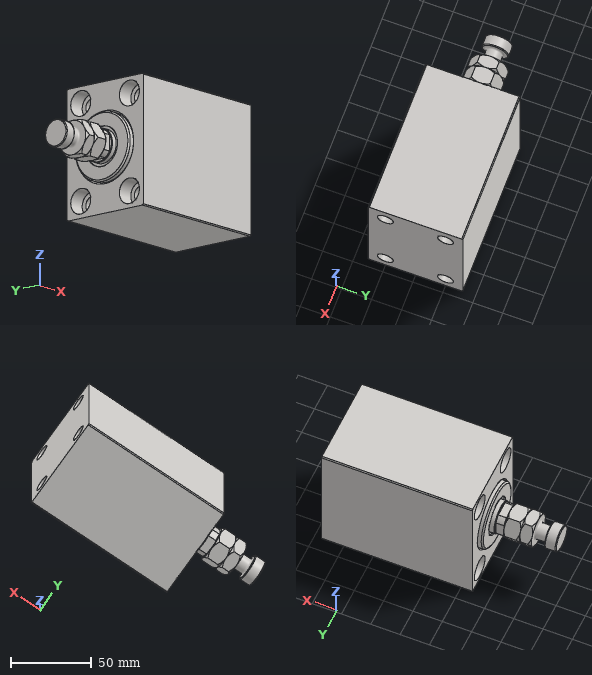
import cadquery as cq
import math


HOUSING_LENGTH = 102.9
HOUSING_WIDTH = 63.0
HOUSING_HEIGHT = 85.0
HOUSING_EDGE_CHAMFER = 0.8
BOLT_SPACING_Y = 40.0
BOLT_SPACING_Z = 63.0
BOLT_HOLE_DIAMETER = 10.5
COUNTERBORE_DIAMETER = 16.5
COUNTERBORE_DEPTH = 11.0

GLAND_DIAMETER = 45.0
GLAND_PROJECTION = 3.2
GLAND_DEPTH = 18.0
GLAND_CHAMFER = 1.0
WIPER_RECESS_DIAMETER = 26.0
WIPER_RECESS_DEPTH = 1.0

ROD_DIAMETER = 22.0
ROD_CHAMFER = 0.5
FLATS_WIDTH = 18.0
FLATS_CORNER_DIAMETER = 20.8
FLATS_LENGTH = 6.0
ROD_PROJECTION = 12.2

HEAD_DIAMETER = 18.0
HEAD_LENGTH = 8.0
HEAD_CHAMFER = 0.6
NECK_DIAMETER = 11.1
NECK_LENGTH = 8.0
NECK_FILLET = 1.2
HEX_ACROSS_FLATS = 22.0
FRONT_HEX_LENGTH = 8.1
REAR_HEX_LENGTH = 11.0

GLAND_FACE_X = -GLAND_PROJECTION
ROD_TIP_X = -ROD_PROJECTION
REAR_HEX_X = ROD_TIP_X - REAR_HEX_LENGTH
FRONT_HEX_X = REAR_HEX_X - FRONT_HEX_LENGTH
HEAD_BACK_X = FRONT_HEX_X - NECK_LENGTH
HEAD_FRONT_X = HEAD_BACK_X - HEAD_LENGTH


def section_plane(x):
    """Plane across the rod axis at x: local x is +Y, local y is +Z, extrusion goes toward +X."""
    return cq.Workplane("YZ", origin=(x, 0, 0))


def cylinder(x, diameter, length):
    return section_plane(x).circle(diameter / 2).extrude(length)


def bolt_pattern(diameter, depth):
    """Four cylinders at the bolt positions, from the front face of the housing to the given depth."""
    return (
        section_plane(0)
        .rect(BOLT_SPACING_Y, BOLT_SPACING_Z, forConstruction=True)
        .vertices()
        .circle(diameter / 2)
        .extrude(depth)
    )


def make_housing():
    block = (
        section_plane(0)
        .rect(HOUSING_WIDTH, HOUSING_HEIGHT)
        .extrude(HOUSING_LENGTH)
        .edges("|X")
        .chamfer(HOUSING_EDGE_CHAMFER)
    )
    bolt_holes = bolt_pattern(BOLT_HOLE_DIAMETER, HOUSING_LENGTH)
    counterbores = bolt_pattern(COUNTERBORE_DIAMETER, COUNTERBORE_DEPTH)
    gland_bore = cylinder(0, GLAND_DIAMETER, GLAND_DEPTH)
    bored = block.cut(bolt_holes).cut(counterbores).cut(gland_bore)
    bore_rim = cq.selectors.RadiusNthSelector(-1)
    return bored.faces("<X").edges(bore_rim).chamfer(GLAND_CHAMFER)


def make_gland():
    disc = cylinder(GLAND_FACE_X, GLAND_DIAMETER, GLAND_PROJECTION + GLAND_DEPTH)
    disc = disc.faces("<X").chamfer(GLAND_CHAMFER)
    wiper_recess = cylinder(GLAND_FACE_X, WIPER_RECESS_DIAMETER, WIPER_RECESS_DEPTH)
    rod_bore = cylinder(GLAND_FACE_X, ROD_DIAMETER, GLAND_PROJECTION + GLAND_DEPTH)
    return disc.cut(wiper_recess).cut(rod_bore)


def make_rod():
    shank_x = ROD_TIP_X + FLATS_LENGTH
    shank = cylinder(shank_x, ROD_DIAMETER, GLAND_DEPTH - shank_x).faces("<X").chamfer(ROD_CHAMFER)
    flats = section_plane(ROD_TIP_X).rect(FLATS_WIDTH, FLATS_WIDTH).extrude(FLATS_LENGTH)
    rounded_tip = cylinder(ROD_TIP_X, FLATS_CORNER_DIAMETER, FLATS_LENGTH).faces("<X").chamfer(ROD_CHAMFER)
    return shank.union(flats.intersect(rounded_tip))


def make_hexagon(x, length):
    """Hexagon with corners on the Y axis, both ends chamfered at 45 degrees down to the across-flats circle."""
    corner_diameter = HEX_ACROSS_FLATS / math.cos(math.pi / 6)
    corner_chamfer = (corner_diameter - HEX_ACROSS_FLATS) / 2
    prism = section_plane(x).polygon(6, corner_diameter).extrude(length)
    turned_blank = cylinder(x, corner_diameter, length).faces("<X or >X").chamfer(corner_chamfer)
    return prism.intersect(turned_blank)


def make_coupling():
    head = cylinder(HEAD_FRONT_X, HEAD_DIAMETER, HEAD_LENGTH).faces("<X or >X").chamfer(HEAD_CHAMFER)
    neck = cylinder(HEAD_BACK_X, NECK_DIAMETER, NECK_LENGTH)
    front_hex = make_hexagon(FRONT_HEX_X, FRONT_HEX_LENGTH)
    rear_hex = make_hexagon(REAR_HEX_X, REAR_HEX_LENGTH)
    stud = head.union(neck).union(front_hex).union(rear_hex)
    neck_ends = cq.selectors.RadiusNthSelector(0)
    return stud.edges("%CIRCLE").edges(neck_ends).fillet(NECK_FILLET)


housing = make_housing()
gland = make_gland()
rod = make_rod()
coupling = make_coupling()

result = cq.Compound.makeCompound([housing.val(), gland.val(), rod.val(), coupling.val()])